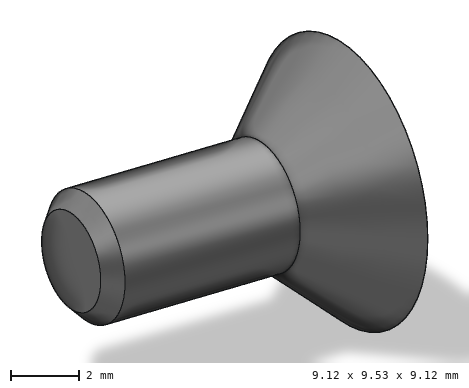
import cadquery as cq

total_length = 9.53
head_diameter = 9.12
head_height = 2.85
shank_diameter = 4.16
tip_chamfer = 0.51

head_radius = head_diameter / 2
shank_radius = shank_diameter / 2
tip_radius = shank_radius - tip_chamfer
head_face_y = total_length / 2
head_base_y = head_face_y - head_height
tip_y = head_face_y - total_length

half_profile = (
    cq.Workplane("XY")
    .moveTo(0, tip_y)
    .lineTo(tip_radius, tip_y)
    .lineTo(shank_radius, tip_y + tip_chamfer)
    .lineTo(shank_radius, head_base_y)
    .lineTo(head_radius, head_face_y)
    .lineTo(0, head_face_y)
    .close()
)

result = half_profile.revolve(360, (0, 0, 0), (0, 1, 0))